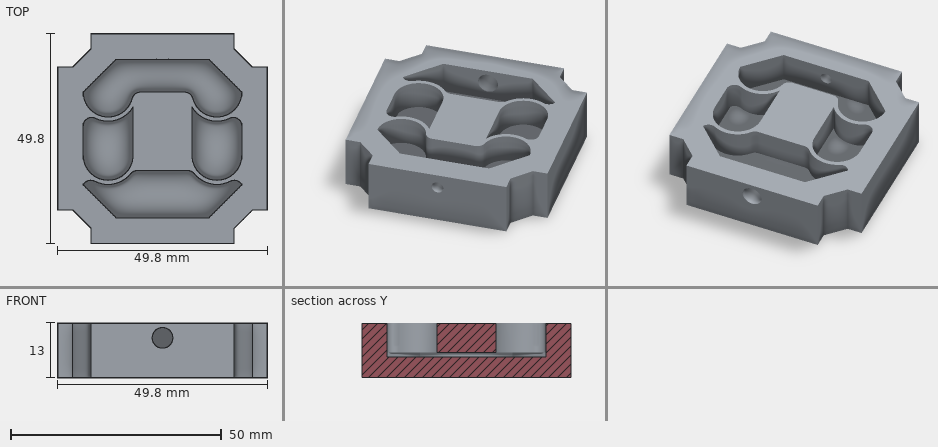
import cadquery as cq
import math

body_width = 49.8
body_height = 13.0
side_face_width = 34.0
notch_depth = 3.6

wall = 6.1
insert_thickness = 7.0
gap_height = 1.0
octagon_side = 22.0

lobe_radius = 5.9
thin_wall = 1.0
upper_lobe_y = octagon_side / 2
lobe_spacing = 15.0
block_height = 18.6
blend_radius = 2.0

front_hole_diameter = 4.9
back_hole_diameter = 2.9
hole_depth_below_top = 3.5

half_body = body_width / 2
half_face = side_face_width / 2
half_pocket = half_body - wall
half_octagon_side = octagon_side / 2
lobe_x = half_pocket - lobe_radius
lower_lobe_y = upper_lobe_y - lobe_spacing
outer_radius = lobe_radius + thin_wall
block_top_y = upper_lobe_y
block_bottom_y = block_top_y - block_height
slot_inner_x = lobe_x - lobe_radius
insert_bottom_z = body_height - insert_thickness
hole_z = body_height - hole_depth_below_top


def leg(hypotenuse, other_leg):
    """Remaining leg of a right triangle."""
    return math.sqrt(hypotenuse**2 - other_leg**2)


def toward(start, end, distance):
    """Point at a distance from start on the line to end."""
    length = math.dist(start, end)
    return tuple(s + (e - s) * distance / length for s, e in zip(start, end))


def mirrored(point):
    """Same point on the other side of the YZ plane."""
    return (-point[0], point[1])


def make_body():
    """Square block with a stepped, bevelled notch in each vertical corner."""
    step = half_body - notch_depth
    body = cq.Workplane("XY").box(body_width, body_width, body_height, centered=(True, True, False))
    corner = [
        (half_body, half_face),
        (step, half_face),
        (half_face, step),
        (half_face, half_body),
        (half_body, half_body),
    ]
    notch = cq.Workplane("XY").polyline(corner).close().extrude(body_height)
    for quarter in range(4):
        body = body.cut(notch.rotate((0, 0, 0), (0, 0, 1), 90 * quarter))
    return body


def make_gap():
    """Octagonal layer between the insert and the floor."""
    width = 2 * half_pocket
    return (
        cq.Workplane("XY")
        .workplane(offset=insert_bottom_z - gap_height)
        .box(width, width, gap_height, centered=(True, True, False))
        .edges("|Z")
        .chamfer(half_pocket - half_octagon_side)
    )


def insert_sketch():
    """Sketch plane at the underside of the insert."""
    return cq.Workplane("XY").workplane(offset=insert_bottom_z)


def blend_middle(center, start, end):
    """Middle point of a blend arc."""
    chord_middle = ((start[0] + end[0]) / 2, (start[1] + end[1]) / 2)
    return toward(center, chord_middle, blend_radius)


def block_blend(lobe, radius, edge_y):
    """Blend from a horizontal block edge to a lobe arc: edge point, middle of the arc, lobe point."""
    center_y = edge_y - blend_radius
    center = (lobe[0] - leg(radius + blend_radius, lobe[1] - center_y), center_y)
    edge_point = (center[0], edge_y)
    lobe_point = toward(center, lobe, blend_radius)
    return edge_point, blend_middle(center, edge_point, lobe_point), lobe_point


def side_blend(lobe):
    """Blend from the cavity side to the outside of a thin wall: side point, middle of the arc, wall point."""
    center_x = half_pocket - blend_radius
    center = (center_x, lobe[1] - leg(outer_radius + blend_radius, center_x - lobe[0]))
    side_point = (half_pocket, center[1])
    wall_point = toward(center, lobe, blend_radius)
    return side_point, blend_middle(center, side_point, wall_point), wall_point


def tip_blend(lobe, tip):
    """Blend from the outside of a thin wall through a cavity corner: wall point, middle of the arc."""
    center_distance = outer_radius + blend_radius
    tip_distance = math.dist(lobe, tip)
    along = (center_distance**2 - blend_radius**2 + tip_distance**2) / (2 * tip_distance)
    across = leg(center_distance, along)
    foot = toward(lobe, tip, along)
    unit_x = (tip[0] - lobe[0]) / tip_distance
    unit_y = (tip[1] - lobe[1]) / tip_distance
    center = (foot[0] + across * unit_y, foot[1] - across * unit_x)
    wall_point = toward(center, lobe, blend_radius)
    return wall_point, blend_middle(center, wall_point, tip)


def make_upper_pocket():
    """Pocket on the +Y side, with a round lobe at each end."""
    lobe = (lobe_x, upper_lobe_y)
    edge_point, blend_point, lobe_point = block_blend(lobe, lobe_radius, block_top_y)
    lobe_bottom = (lobe_x, upper_lobe_y - lobe_radius)
    side_point = (half_pocket, half_octagon_side)
    top_corner = (half_octagon_side, half_pocket)
    return (
        insert_sketch()
        .moveTo(*mirrored(edge_point))
        .lineTo(*edge_point)
        .threePointArc(blend_point, lobe_point)
        .threePointArc(lobe_bottom, side_point)
        .lineTo(*top_corner)
        .lineTo(*mirrored(top_corner))
        .lineTo(*mirrored(side_point))
        .threePointArc(mirrored(lobe_bottom), mirrored(lobe_point))
        .threePointArc(mirrored(blend_point), mirrored(edge_point))
        .close()
        .extrude(insert_thickness)
    )


def make_slot():
    """Round-ended slot on the +X side, closed above by the thin wall of the upper lobe."""
    lobe = (lobe_x, upper_lobe_y)
    side_point, side_middle, wall_point = side_blend(lobe)
    inner_corner = (slot_inner_x, upper_lobe_y - leg(outer_radius, lobe_radius))
    return (
        insert_sketch()
        .moveTo(half_pocket, lower_lobe_y)
        .lineTo(*side_point)
        .threePointArc(side_middle, wall_point)
        .threePointArc((lobe_x, upper_lobe_y - outer_radius), inner_corner)
        .lineTo(slot_inner_x, lower_lobe_y)
        .threePointArc((lobe_x, lower_lobe_y - lobe_radius), (half_pocket, lower_lobe_y))
        .close()
        .extrude(insert_thickness)
    )


def make_lower_pocket():
    """Pocket on the -Y side, bounded by the thin walls around the slot ends."""
    lobe = (lobe_x, lower_lobe_y)
    edge_point, blend_point, lobe_point = block_blend(lobe, outer_radius, block_bottom_y)
    wall_bottom = (lobe_x, lower_lobe_y - outer_radius)
    tip = (half_pocket, -half_octagon_side)
    wall_point, tip_middle = tip_blend(lobe, tip)
    bottom_corner = (half_octagon_side, -half_pocket)
    return (
        insert_sketch()
        .moveTo(*mirrored(edge_point))
        .lineTo(*edge_point)
        .threePointArc(blend_point, lobe_point)
        .threePointArc(wall_bottom, wall_point)
        .threePointArc(tip_middle, tip)
        .lineTo(*bottom_corner)
        .lineTo(*mirrored(bottom_corner))
        .lineTo(*mirrored(tip))
        .threePointArc(mirrored(tip_middle), mirrored(wall_point))
        .threePointArc(mirrored(wall_bottom), mirrored(lobe_point))
        .threePointArc(mirrored(blend_point), mirrored(edge_point))
        .close()
        .extrude(insert_thickness)
    )


def make_wall_hole(diameter, start_y):
    """Cylinder along +Y, one wall thickness long."""
    base = cq.Vector(0, start_y, hole_z)
    return cq.Workplane(cq.Solid.makeCylinder(diameter / 2, wall, base, cq.Vector(0, 1, 0)))


slot = make_slot()
result = (
    make_body()
    .cut(make_upper_pocket())
    .cut(make_lower_pocket())
    .cut(slot)
    .cut(slot.mirror("YZ"))
    .cut(make_gap())
    .cut(make_wall_hole(front_hole_diameter, -half_body))
    .cut(make_wall_hole(back_hole_diameter, half_pocket))
)